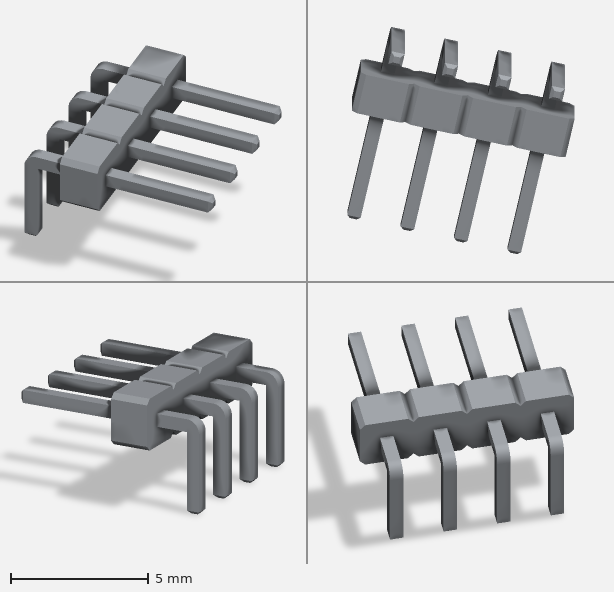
import cadquery as cq

pin_count = 4
row_length = 8
pitch = row_length / pin_count

housing_depth = 3 * pitch / 4
block_chamfer = pitch / 10

pin_width = pitch / 4
tip_chamfer = 0.13
overall_length = 7.45
overall_height = 4.4
bend_to_housing = 1.74
bend_radius = pin_width

housing_back = -housing_depth / 2
leg_face = housing_back - bend_to_housing
long_tip = leg_face + overall_length
leg_tip = pitch / 2 - overall_height


def housing_block(y):
    """One block with its four X-direction edges chamfered."""
    block = cq.Workplane("XY").box(housing_depth, pitch, pitch)
    return block.edges("|X").chamfer(block_chamfer).translate((0, y, 0))


def bent_pin(y):
    """L-shaped square pin with tapered tips and a rounded outer bend."""
    half = pin_width / 2
    pin = (
        cq.Workplane("XZ")
        .moveTo(leg_face, leg_tip)
        .lineTo(leg_face, half - bend_radius)
        .radiusArc((leg_face + bend_radius, half), bend_radius)
        .lineTo(long_tip, half)
        .lineTo(long_tip, -half)
        .lineTo(leg_face + pin_width, -half)
        .lineTo(leg_face + pin_width, leg_tip)
        .close()
        .extrude(half, both=True)
    )
    pin = pin.faces(">X").chamfer(tip_chamfer)
    pin = pin.faces("<Z").chamfer(tip_chamfer)
    return pin.translate((0, y, 0))


result = cq.Workplane("XY")
for index in range(pin_count):
    position = (index - (pin_count - 1) / 2) * pitch
    result = result.union(housing_block(position)).union(bent_pin(position))